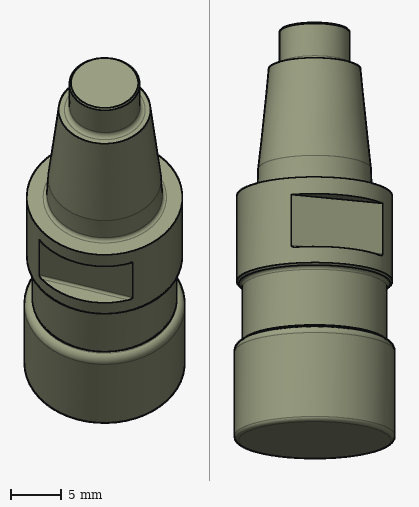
import cadquery as cq
import math

diagonal = math.sqrt(0.5)

total_height = 42.0
cap_top = 9.83
collar_bottom = 16.25
collar_top = 25.05
cone_bend = 27.8
stem_top = 38.05

tip_radius = 7.0 / 2
collar_radius = 15.5 / 2
neck_radius = 14.4 / 2
cap_radius = 16.0 / 2
stem_top_radius = 4.58
stem_bend_radius = 5.63
stem_foot_radius = 5.75

tip_chamfer = 0.15
tip_foot_fillet = 0.5
stem_foot_fillet = 0.38
collar_chamfer = 0.2
neck_fillet = collar_radius - collar_chamfer - neck_radius
neck_end_chamfer = 0.15
cap_top_rounding = cap_radius - neck_radius
cap_bottom_rounding = 0.4

flat_distance = 6.0
flat_bottom = 17.9
flat_top = 23.3
flat_corner_fillet = 0.25


def make_cap():
    """Round cap with a straight wall and rounded upper and lower edges."""
    shoulder = cap_top - cap_top_rounding
    base_radius = cap_radius - cap_bottom_rounding
    foot_reach = cap_bottom_rounding * diagonal
    shoulder_reach = cap_top_rounding * diagonal
    profile = (
        cq.Workplane("XZ")
        .lineTo(base_radius, 0)
        .threePointArc(
            (base_radius + foot_reach, cap_bottom_rounding - foot_reach),
            (cap_radius, cap_bottom_rounding),
        )
        .lineTo(cap_radius, shoulder)
        .threePointArc(
            (neck_radius + shoulder_reach, shoulder + shoulder_reach),
            (neck_radius, cap_top),
        )
        .lineTo(0, cap_top)
        .close()
    )
    return profile.revolve(360, (0, 0, 0), (0, 1, 0))


def make_turned_body():
    """Neck, collar, tapered stem and tip, turned about the Z axis."""
    underside = collar_bottom - collar_chamfer
    inner_bend = 1 - diagonal
    profile = (
        cq.Workplane("XZ")
        .moveTo(0, cap_top)
        .lineTo(neck_radius - neck_end_chamfer, cap_top)
        .lineTo(neck_radius, cap_top + neck_end_chamfer)
        .lineTo(neck_radius, underside - neck_fillet)
        .threePointArc(
            (neck_radius + inner_bend * neck_fillet, underside - inner_bend * neck_fillet),
            (neck_radius + neck_fillet, underside),
        )
        .lineTo(collar_radius, collar_bottom)
        .lineTo(collar_radius, collar_top)
        .lineTo(stem_foot_radius + stem_foot_fillet, collar_top)
        .threePointArc(
            (stem_foot_radius + inner_bend * stem_foot_fillet, collar_top + inner_bend * stem_foot_fillet),
            (stem_foot_radius, collar_top + stem_foot_fillet),
        )
        .lineTo(stem_bend_radius, cone_bend)
        .lineTo(stem_top_radius, stem_top)
        .lineTo(tip_radius + tip_foot_fillet, stem_top)
        .threePointArc(
            (tip_radius + inner_bend * tip_foot_fillet, stem_top + inner_bend * tip_foot_fillet),
            (tip_radius, stem_top + tip_foot_fillet),
        )
        .lineTo(tip_radius, total_height - tip_chamfer)
        .lineTo(tip_radius - tip_chamfer, total_height)
        .lineTo(0, total_height)
        .close()
    )
    return profile.revolve(360, (0, 0, 0), (0, 1, 0))


def make_flat_cutter(side):
    """Block that cuts one wrench flat; side is -1 for -Y and +1 for +Y."""
    depth = 2 * (collar_radius - flat_distance)
    block = (
        cq.Workplane("XY", origin=(0, side * (flat_distance + depth / 2), flat_bottom))
        .box(2 * collar_radius, depth, flat_top - flat_bottom, centered=(True, True, False))
    )
    inner_face = ">Y" if side < 0 else "<Y"
    return block.faces(inner_face).edges("<Z").fillet(flat_corner_fillet)


cap = make_cap()
body = make_turned_body()
for side in (-1, 1):
    body = body.cut(make_flat_cutter(side))

result = cq.Compound.makeCompound([cap.val(), body.val()])